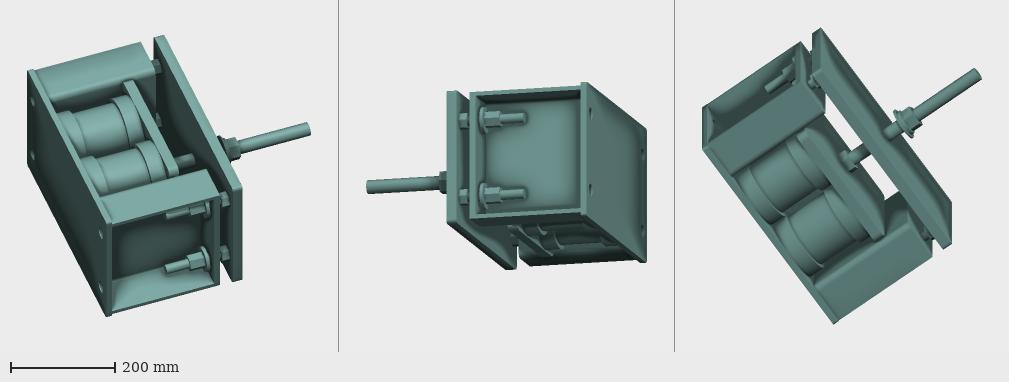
import cadquery as cq
import math

frame_width = 436.0
base_height = 264.0
base_thickness = 12.0
base_corner_radius = 5.0
access_hole_radius = 12.0

bracket_top = 233.0
bracket_height = 249.0
bracket_depth = 82.5
bracket_wall = 8.0
bracket_end_wall = 12.0
bracket_corner_radius = 12.5

collar_radius = 64.0
collar_length = 30.5
drum_radius = 56.0
drum_gap = 0.5
drum_offset = collar_radius + drum_gap / 2

plate_thickness = 20.5
plate_height = 261.0
pressure_plate_width = 261.5
pressure_plate_bottom = 161.5
pressure_plate_top = pressure_plate_bottom + plate_thickness
pressure_corner_radius = 14.0
crosshead_bottom = 259.0
crosshead_corner_radius = 7.0

rod_radius = 13.5
rod_end = 495.5
rod_nut_flats = 39.5
lower_nut_length = 15.5
thin_washer_bottom = 318.0
thin_washer_radius = 32.0
thin_washer_thickness = 3.5
thick_washer_radius = 26.0
thick_washer_thickness = 6.5
upper_nut_length = 21.5

stud_offset_x = 187.5
stud_offset_z = 75.0
stud_radius = 9.5
stud_end = 132.0
stud_nut_flats = 28.0
jam_nut_length = 15.5
long_nut_bottom = 179.0
long_nut_length = 29.5
stud_washer_radius = 25.5
stud_washer_thickness = 6.5

stud_positions = [(sx * stud_offset_x, sz * stud_offset_z) for sx in (-1, 1) for sz in (-1, 1)]


def section_at(y):
    """Workplane across the Y axis whose extrusions grow toward +Y, with local axes X and -Z."""
    return cq.Workplane("XZ", origin=(0, y, 0)).transformed(rotate=(180, 0, 0))


def plate(width, height, y, thickness, corner_radius):
    block = section_at(y).rect(width, height).extrude(thickness)
    return block.edges("|Y").fillet(corner_radius)


def rods(y, length, radius, positions):
    return section_at(y).pushPoints(positions).circle(radius).extrude(length)


def nuts(y, length, flats, positions):
    """Hexagonal nuts with two opposite corners pointing along X."""
    corner_diameter = flats / math.cos(math.pi / 6)
    return section_at(y).pushPoints(positions).polygon(6, corner_diameter).extrude(length)


def base_plate():
    body = plate(frame_width, base_height, 0, base_thickness, base_corner_radius)
    return body.cut(rods(0, base_thickness, access_hole_radius, stud_positions))


def left_bracket():
    length = bracket_top - base_thickness
    center_x = (bracket_depth - frame_width) / 2
    shell = section_at(base_thickness).center(center_x, 0).rect(bracket_depth, bracket_height).extrude(length)
    shell = shell.edges("|Y and >X").fillet(bracket_corner_radius)
    cavity = (
        section_at(base_thickness)
        .center(center_x - bracket_wall / 2, 0)
        .rect(bracket_depth - bracket_wall, bracket_height - 2 * bracket_wall)
        .extrude(length - bracket_end_wall)
    )
    cavity = cavity.edges("|Y and >X").fillet(bracket_corner_radius - bracket_wall)
    return shell.cut(cavity)


def drums():
    centers = [(sx * drum_offset, sz * drum_offset) for sx in (-1, 1) for sz in (-1, 1)]
    body = rods(base_thickness, pressure_plate_bottom - base_thickness, drum_radius, centers)
    for collar_start in (base_thickness, pressure_plate_bottom - collar_length):
        body = body.union(rods(collar_start, collar_length, collar_radius, centers))
    return body


def central_rod():
    axis = [(0, 0)]
    thick_washer_bottom = thin_washer_bottom + thin_washer_thickness
    upper_nut_bottom = thick_washer_bottom + thick_washer_thickness
    return (
        rods(pressure_plate_top, rod_end - pressure_plate_top, rod_radius, axis)
        .union(nuts(pressure_plate_top, lower_nut_length, rod_nut_flats, axis))
        .union(rods(thin_washer_bottom, thin_washer_thickness, thin_washer_radius, axis))
        .union(rods(thick_washer_bottom, thick_washer_thickness, thick_washer_radius, axis))
        .union(nuts(upper_nut_bottom, upper_nut_length, rod_nut_flats, axis))
    )


def studs():
    washer_bottom = long_nut_bottom + long_nut_length
    return (
        rods(stud_end, crosshead_bottom - stud_end, stud_radius, stud_positions)
        .union(nuts(long_nut_bottom, long_nut_length, stud_nut_flats, stud_positions))
        .union(rods(washer_bottom, stud_washer_thickness, stud_washer_radius, stud_positions))
        .union(nuts(crosshead_bottom - jam_nut_length, jam_nut_length, stud_nut_flats, stud_positions))
    )


pressure_plate = plate(
    pressure_plate_width, plate_height, pressure_plate_bottom, plate_thickness, pressure_corner_radius
)
crosshead = plate(frame_width, plate_height, crosshead_bottom, plate_thickness, crosshead_corner_radius)
bracket = left_bracket()

result = (
    base_plate()
    .union(bracket)
    .union(bracket.mirror("YZ"))
    .union(drums())
    .union(pressure_plate)
    .union(crosshead)
    .union(central_rod())
    .union(studs())
)